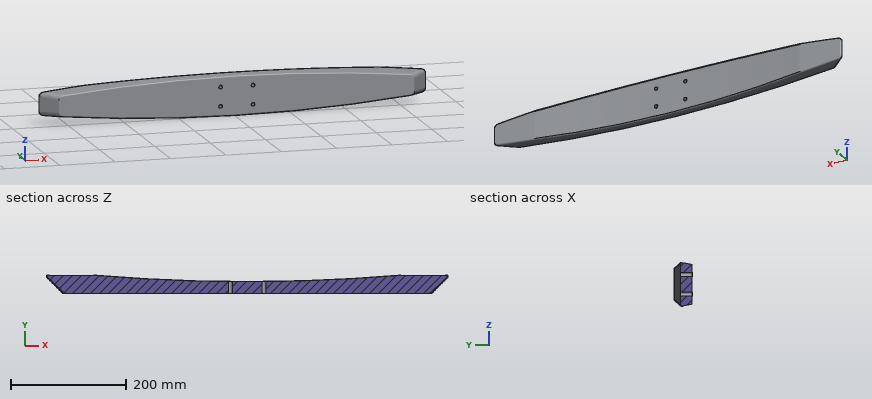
import cadquery as cq
import math

LENGTH = 698.0
DEPTH = 32.0

FRONT_HEIGHT = 70.5
OUTLINE_RADIUS = 3003.0
FLARE_ANGLE = 10.0

WAIST_DEPTH = 21.0
BACK_RADIUS = 3177.5

END_ROUND = 8.0
RIM_ROUND = 2.5

HOLE_DIAMETER = 6.0
HOLE_SPACING_X = 59.0
HOLE_SPACING_Z = 34.0

END_RUN = DEPTH
TIP_LOSS = RIM_ROUND * (1 / math.tan(math.radians(45 / 2)) - 1)
SHARP_TIP_X = LENGTH / 2 + TIP_LOSS

HOLLOW_DEPTH = DEPTH - WAIST_DEPTH
HOLLOW_END_X = math.sqrt(BACK_RADIUS**2 - (BACK_RADIUS - HOLLOW_DEPTH) ** 2)

BLANK_HALF_LENGTH = 0.6 * LENGTH


def flared_blank():
    """Over-long bar with bowed long sides that flare toward the back."""
    crest = FRONT_HEIGHT / 2
    arc_drop = OUTLINE_RADIUS - math.sqrt(OUTLINE_RADIUS**2 - BLANK_HALF_LENGTH**2)
    end = crest - arc_drop
    return (
        cq.Workplane("XZ")
        .moveTo(-BLANK_HALF_LENGTH, end)
        .threePointArc((0, crest), (BLANK_HALF_LENGTH, end))
        .lineTo(BLANK_HALF_LENGTH, -end)
        .threePointArc((0, -crest), (-BLANK_HALF_LENGTH, -end))
        .close()
        .extrude(-DEPTH, taper=-FLARE_ANGLE)
    )


def trimming_prism():
    """Slanted ends and hollowed back, as a tall prism along Z."""
    return (
        cq.Workplane("XY")
        .moveTo(-SHARP_TIP_X + END_RUN, 0)
        .lineTo(SHARP_TIP_X - END_RUN, 0)
        .lineTo(SHARP_TIP_X, DEPTH)
        .lineTo(HOLLOW_END_X, DEPTH)
        .threePointArc((0, WAIST_DEPTH), (-HOLLOW_END_X, DEPTH))
        .lineTo(-SHARP_TIP_X, DEPTH)
        .close()
        .extrude(FRONT_HEIGHT, both=True)
    )


def round_end_corners(body):
    """Round the four slanted edges where an end face meets a long side."""
    return body.edges("%ELLIPSE").fillet(END_ROUND)


def round_front_rim(body):
    """Round the whole outline of the front face."""
    return body.faces("<Y").edges().fillet(RIM_ROUND)


def round_back_rim(body):
    """Round the whole back outline, leaving the two creases across the hollow sharp."""
    past_hollow = (SHARP_TIP_X + HOLLOW_END_X) / 2

    def on_rim(edge):
        is_crease = edge.geomType() == "LINE" and abs(edge.Center().x) < past_hollow
        return edge.BoundingBox().ymin > WAIST_DEPTH - RIM_ROUND and not is_crease

    return body.edges().filter(on_rim).fillet(RIM_ROUND)


def mounting_holes():
    """Four through holes centred on the front face."""
    return (
        cq.Workplane("XZ")
        .rarray(HOLE_SPACING_X, HOLE_SPACING_Z, 2, 2)
        .circle(HOLE_DIAMETER / 2)
        .extrude(-DEPTH)
    )


body = flared_blank().intersect(trimming_prism())
body = round_end_corners(body)
body = round_front_rim(body)
body = round_back_rim(body)
result = body.cut(mounting_holes())